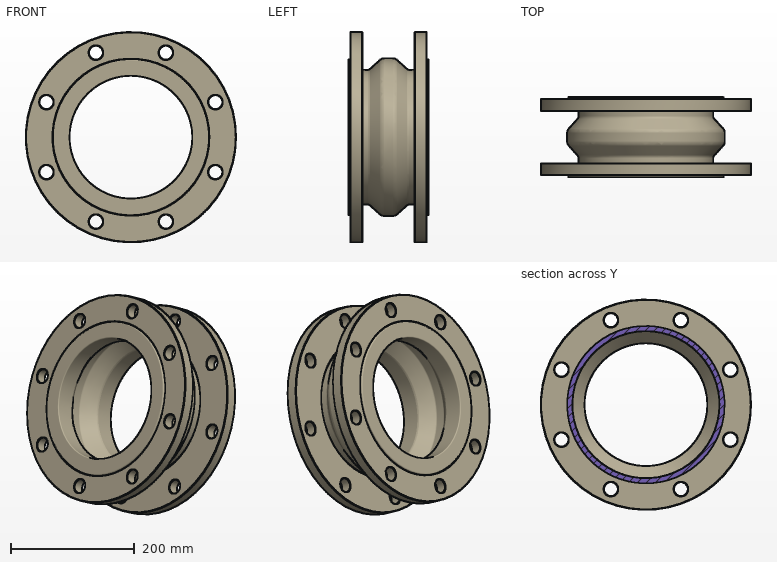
import cadquery as cq
import math

overall_length = 130.0

flange_diameter = 340.0
flange_thickness = 20.0
flange_edge_chamfer = 1.0
flange_bore_diameter = 218.0
flange_bore_chamfer = 3.0
lip_seat_depth = 3.0
bolt_count = 8
bolt_circle_diameter = 295.0
bolt_hole_diameter = 22.0
bolt_hole_chamfer = 1.0

lip_thickness = 3.0
bore_diameter = 198.0
tube_diameter = 218.0
crest_diameter = 255.0
crest_bore_diameter = 237.0
lip_diameter = 252.0
lip_edge_fillet = 2.0
bore_edge_fillet = 1.7
crest_half_width = 11.0
cone_foot_position = 31.3
inner_crest_half_width = 8.5
crest_fillet = 9.2
foot_fillet = 4.8
inner_crest_fillet = 3.0

end_face = overall_length / 2
flange_outer_face = end_face - lip_thickness
seat_floor = flange_outer_face - lip_seat_depth
flange_inner_face = flange_outer_face - flange_thickness


def revolve_around_y(profile):
    """Turn an XY outline (X = radius) a full turn around the Y axis."""
    return profile.revolve(360, (0, 0, 0), (0, 1, 0))


def circle_edges(body, diameter, position):
    """Pick the round edges of the given diameter at +position and -position along Y."""
    return body.edges("%CIRCLE").filter(
        lambda edge: math.isclose(2 * edge.radius(), diameter, abs_tol=0.0005)
        and math.isclose(abs(edge.Center().y), position, abs_tol=0.0005)
    )


def fillet_circles(body, diameter, position, radius):
    """Round the matching pair of edges of a body of revolution."""
    edges = circle_edges(body, diameter, position).vals()
    return body.newObject([body.val().fillet(radius, edges)])


def make_bellows():
    """Rubber tube with one outward convolution and a sealing lip over each flange."""
    outer_half = [
        (lip_diameter / 2, end_face),
        (lip_diameter / 2, seat_floor),
        (tube_diameter / 2, seat_floor),
        (tube_diameter / 2, cone_foot_position),
        (crest_diameter / 2, crest_half_width),
    ]
    inner_half = [
        (crest_bore_diameter / 2, inner_crest_half_width),
        (bore_diameter / 2, cone_foot_position),
        (bore_diameter / 2, end_face),
    ]
    half = inner_half + outer_half
    mirrored_half = [(radius, -position) for radius, position in reversed(half)]
    bellows = revolve_around_y(cq.Workplane("XY").polyline(half + mirrored_half).close())

    bellows = fillet_circles(bellows, crest_diameter, crest_half_width, crest_fillet)
    bellows = fillet_circles(bellows, tube_diameter, cone_foot_position, foot_fillet)
    bellows = fillet_circles(bellows, crest_bore_diameter, inner_crest_half_width, inner_crest_fillet)
    bellows = fillet_circles(bellows, bore_diameter, cone_foot_position, foot_fillet)
    bellows = fillet_circles(bellows, lip_diameter, end_face, lip_edge_fillet)
    return fillet_circles(bellows, bore_diameter, end_face, bore_edge_fillet)


def make_bolt_drills():
    """Ring of bolt hole cutters, widened at both flange faces for the edge chamfers."""
    radius = bolt_hole_diameter / 2
    mouth_radius = radius + bolt_hole_chamfer
    drill = revolve_around_y(
        cq.Workplane("XY").polyline([
            (0, flange_inner_face),
            (mouth_radius, flange_inner_face),
            (radius, flange_inner_face + bolt_hole_chamfer),
            (radius, flange_outer_face - bolt_hole_chamfer),
            (mouth_radius, flange_outer_face),
            (0, flange_outer_face),
        ]).close()
    ).val()
    drill = drill.translate(cq.Vector(bolt_circle_diameter / 2, 0, 0))
    pitch = 360 / bolt_count
    first_angle = pitch / 2
    drills = [
        drill.rotate(cq.Vector(0, 0, 0), cq.Vector(0, 1, 0), first_angle + index * pitch)
        for index in range(bolt_count)
    ]
    return cq.Workplane(cq.Compound.makeCompound(drills))


def make_flange(side):
    """Drilled ring on the +Y (side = 1) or -Y (side = -1) end of the tube."""
    outer_radius = flange_diameter / 2
    bore_radius = flange_bore_diameter / 2
    seat_radius = lip_diameter / 2
    ring = revolve_around_y(
        cq.Workplane("XY")
        .moveTo(bore_radius + flange_bore_chamfer, flange_inner_face)
        .lineTo(outer_radius - flange_edge_chamfer, flange_inner_face)
        .lineTo(outer_radius, flange_inner_face + flange_edge_chamfer)
        .lineTo(outer_radius, flange_outer_face - flange_edge_chamfer)
        .lineTo(outer_radius - flange_edge_chamfer, flange_outer_face)
        .lineTo(seat_radius + flange_edge_chamfer, flange_outer_face)
        .lineTo(seat_radius, flange_outer_face - flange_edge_chamfer)
        .lineTo(seat_radius, seat_floor)
        .lineTo(bore_radius, seat_floor)
        .lineTo(bore_radius, flange_inner_face + flange_bore_chamfer)
        .close()
    )
    flange = ring.cut(make_bolt_drills())
    return flange if side > 0 else flange.mirror("XZ")


bellows = make_bellows()
flanges = [make_flange(side) for side in (-1, 1)]

result = cq.Compound.makeCompound([bellows.val(), *[flange.val() for flange in flanges]])